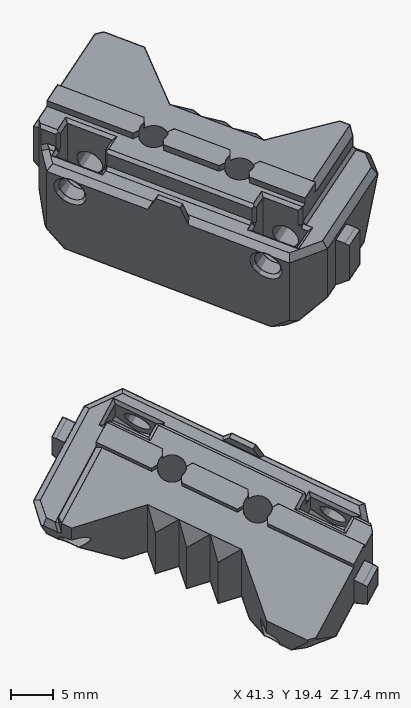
import cadquery as cq
import math

overall_length = 41.25
body_length = 37.72
depth = 19.35
top_z = 16.35
ridge_top_z = 17.35
ledge_z = 13.35
half_body = body_length / 2
margin = 2.05

small_chamfer = 0.4
large_chamfer = 0.8
bottom_chamfer = 1.0

base_half_length = 14.9
front_corner_x = 3.0
front_corner_y = 3.95
back_slope_z = 10.3
back_slope_run = 4.5
back_slope = back_slope_run / back_slope_z
rear_corner_cut = 2.85
ledge_corner_cut = 1.6

wall_y = 2.97
wall_x = 14.85

notch_floor_y = 12.75
notch_floor_half = 6.15
tooth_count = 3

ridge_width = 2.75
ridge_y = 7.45
hole_diameter = 3.4
vertical_hole_x = 5.6
ridge_gap_half = 2.0
ridge_tip_angle = 30.0
tab_top_z = 11.95
tab_bevel_x = 0.58
tab_bevel_z = 0.15

cross_hole_x = 12.8
cross_hole_z = 10.52
nut_flats = 5.85
pocket_front_y = 2.23
pocket_back_y = 5.1

pointer_thickness = 0.65
pointer_top_z = 15.05
pointer_top_half = 1.55
pointer_base_half = 2.7

block_outline = [
    (front_corner_x - half_body, 0),
    (half_body - front_corner_x, 0),
    (half_body, front_corner_y),
    (half_body, depth),
    (-half_body, depth),
    (-half_body, front_corner_y),
]


def prism(points, bottom, top):
    """Vertical prism over an XY outline."""
    return cq.Workplane("XY").workplane(offset=bottom).polyline(points).close().extrude(top - bottom)


def prism_along_y(points, front, back):
    """Prism along Y over an XZ outline."""
    return cq.Workplane("XZ", origin=(0, front, 0)).polyline(points).close().extrude(front - back)


def box(x0, x1, y0, y1, z0, z1):
    return cq.Workplane("XY").box(x1 - x0, y1 - y0, z1 - z0, centered=False).translate((x0, y0, z0))


def mirrored(shape):
    return shape.union(shape.mirror("YZ"))


def envelope():
    """Outer block with end ramps, leaning back and cut corners."""
    ramp_rise = half_body - base_half_length
    end_view = [
        (-base_half_length, 0),
        (base_half_length, 0),
        (half_body, ramp_rise),
        (half_body, top_z),
        (-half_body, top_z),
        (-half_body, ramp_rise),
    ]
    side_view = [
        (0, 0),
        (depth - back_slope_run, 0),
        (depth, back_slope_z),
        (depth, top_z),
        (0, top_z),
    ]
    side_prism = cq.Workplane("YZ").polyline(side_view).close().extrude(half_body, both=True)
    block = prism(block_outline, 0, top_z).intersect(prism_along_y(end_view, 0, depth)).intersect(side_prism)
    for side in (-1, 1):
        ramp_front_edge = cq.selectors.NearestToPointSelector((side * base_half_length, 0, 0))
        block = block.edges(ramp_front_edge).chamfer(bottom_chamfer)
    return block.cut(rear_corners())


def rear_corners():
    """Wedges that bevel the rear corners parallel to the leaning back."""
    cut_y = rear_corner_cut * math.hypot(1, back_slope)

    def section(z):
        slope_y = depth - back_slope_run + back_slope * z
        return [
            (half_body, slope_y - cut_y, z),
            (half_body + cut_y, slope_y - cut_y, z),
            (half_body + cut_y, slope_y + cut_y, z),
            (half_body - 2 * rear_corner_cut, slope_y + cut_y, z),
        ]

    sections = []
    for z in (-margin, top_z):
        points = [cq.Vector(*point) for point in section(z)]
        sections.append(cq.Wire.makePolygon(points, close=True))
    wedge = cq.Workplane(obj=cq.Solid.makeLoft(sections, True))
    edge_cut = prism(
        [
            (half_body - large_chamfer, depth),
            (half_body, depth - large_chamfer),
            (half_body, depth),
        ],
        back_slope_z,
        top_z,
    )
    return mirrored(wedge.union(edge_cut))


def upper_tier():
    """Region of the taller rear block, running past the envelope on the left and at the rear."""
    plan = [
        (-half_body - margin, wall_y),
        (wall_x, wall_y),
        (wall_x, depth - large_chamfer),
        (wall_x - large_chamfer - margin, depth + margin),
        (-half_body - margin, depth + margin),
    ]
    return prism(plan, 0, top_z)


def below_plane(point, normal):
    """Large block under the plane through a point, on the side away from the normal."""
    size = 4 * overall_length
    return cq.Workplane(cq.Plane(origin=point, normal=normal)).rect(size, size).extrude(-size)


def ledge_tier():
    """Region below the ledge, with a 45 degree bevel that spreads past the envelope."""
    foot_z = ledge_z - large_chamfer - margin
    spread = (
        cq.Workplane("XY", origin=(0, 0, foot_z))
        .polyline(block_outline)
        .close()
        .offset2D(margin, "intersection")
        .extrude(ledge_z - foot_z, taper=45)
    )
    reach = half_body + margin
    base = box(-reach, reach, -margin, depth + margin, 0, foot_z)
    corner_x = half_body - large_chamfer - ledge_corner_cut
    corner_point = cq.Vector(corner_x, depth - large_chamfer, ledge_z)
    return spread.union(base).intersect(below_plane(corner_point, cq.Vector(1, 1, 1)))


def below_corner_bevel(wall_normal, floor_normal, corner_point):
    """Space under the bevel plane that fills the inside corner between a wall and a floor."""
    wall_normal = wall_normal.normalized()
    floor_normal = floor_normal.normalized()
    up_the_wall = (floor_normal - wall_normal * wall_normal.dot(floor_normal)).normalized()
    bevel_start = corner_point + up_the_wall * small_chamfer
    return below_plane(bevel_start, wall_normal + floor_normal)


def corner_fillers():
    """Bevels along the foot of the upper tier, on the ledge and down its outer bevels."""
    up = cq.Vector(0, 0, 1)
    forward = cq.Vector(0, -1, 0)
    right = cq.Vector(1, 0, 0)
    reach = half_body + margin

    front_left = cq.Vector(-front_corner_y, -front_corner_x, 0).normalized()
    left_bevel_x = front_corner_x * (1 - wall_y / front_corner_y) - half_body
    left_bevel_point = cq.Vector(left_bevel_x, wall_y, ledge_z - large_chamfer)
    front_point = cq.Vector(0, wall_y, ledge_z)
    front = (
        box(-reach, wall_x, 0, wall_y, 0, top_z)
        .intersect(below_corner_bevel(forward, up, front_point))
        .intersect(below_corner_bevel(forward, front_left + up, left_bevel_point))
    )

    rear_point = cq.Vector(wall_x, depth - large_chamfer, ledge_z)
    side = (
        box(0, half_body, wall_y, depth, 0, top_z)
        .cut(upper_tier())
        .intersect(below_corner_bevel(right, up, rear_point))
        .intersect(below_corner_bevel(right - forward, up - forward, rear_point))
    )
    return front.union(side)


def stepped_body():
    return ledge_tier().union(upper_tier()).union(corner_fillers()).intersect(envelope())


def top_edge_bevels():
    """Wedges that bevel the top edges of the front wall and of the right-hand wall."""
    front_section = [
        (wall_y, top_z),
        (wall_y + small_chamfer, top_z),
        (wall_y, top_z - small_chamfer),
    ]
    front = cq.Workplane("YZ").polyline(front_section).close().extrude(half_body, both=True)
    right_section = [
        (wall_x, top_z),
        (wall_x - large_chamfer, top_z),
        (wall_x, top_z - large_chamfer),
    ]
    right = prism_along_y(right_section, ridge_y + ridge_width / 2, depth)
    return front.union(right)


def rear_notch():
    """V-notch in the rear face, leaving a row of teeth with sloping tops."""
    notch_half = notch_floor_half + depth - notch_floor_y
    tooth_half = notch_floor_half / tooth_count
    tip_y = notch_floor_y + tooth_half
    notch = prism(
        [
            (-notch_floor_half, notch_floor_y),
            (notch_floor_half, notch_floor_y),
            (notch_half, depth),
            (-notch_half, depth),
        ],
        0,
        top_z,
    )
    for index in range(tooth_count):
        x = (2 * index + 1 - tooth_count) * tooth_half
        tooth = prism(
            [
                (x - tooth_half, notch_floor_y),
                (x + tooth_half, notch_floor_y),
                (x, tip_y),
            ],
            0,
            top_z,
        )
        slope = [
            (notch_floor_y, top_z),
            (tip_y, top_z),
            (tip_y, top_z - tooth_half),
        ]
        top_cut = cq.Workplane("YZ").polyline(slope).close().extrude(half_body, both=True)
        notch = notch.cut(tooth.cut(top_cut))
    return notch


def ridge():
    """Bar along the top, split by gaps that follow the pointed ends of its pieces."""
    half_width = ridge_width / 2
    tip_gap_half = ridge_gap_half - half_width * math.tan(math.radians(ridge_tip_angle))
    bar = box(-half_body, wall_x, ridge_y - half_width, ridge_y + half_width, top_z, ridge_top_z)
    for x in (-vertical_hole_x, vertical_hole_x):
        gap = [
            (x - ridge_gap_half, ridge_y - half_width),
            (x + ridge_gap_half, ridge_y - half_width),
            (x + tip_gap_half, ridge_y),
            (x + ridge_gap_half, ridge_y + half_width),
            (x - ridge_gap_half, ridge_y + half_width),
            (x - tip_gap_half, ridge_y),
        ]
        bar = bar.cut(prism(gap, top_z, ridge_top_z))
    return bar


def end_tabs():
    """Tabs on both ends, continuing the 45 degree ramps outwards."""
    half_length = overall_length / 2
    section = [
        (0, half_body - base_half_length),
        (half_body, half_body - base_half_length),
        (half_length, half_length - base_half_length),
        (half_length, tab_top_z - tab_bevel_z),
        (half_length - tab_bevel_x, tab_top_z),
        (0, tab_top_z),
    ]
    return mirrored(prism_along_y(section, ridge_y - ridge_width / 2, ridge_y + ridge_width / 2))


def pointer():
    base_z = ledge_z - large_chamfer
    section = [
        (-pointer_base_half, base_z),
        (pointer_base_half, base_z),
        (pointer_top_half, pointer_top_z),
        (-pointer_top_half, pointer_top_z),
    ]
    return prism_along_y(section, 0, pointer_thickness)


def holes():
    """Two vertical holes, and two horizontal holes countersunk at the front."""
    radius = hole_diameter / 2
    bores = (
        cq.Workplane("XY")
        .pushPoints([(-vertical_hole_x, ridge_y), (vertical_hole_x, ridge_y)])
        .circle(radius)
        .extrude(ridge_top_z)
    )
    axis_direction = cq.Vector(0, 1, 0)
    for x in (-cross_hole_x, cross_hole_x):
        start = cq.Vector(x, 0, cross_hole_z)
        bore = cq.Solid.makeCylinder(radius, depth, start, axis_direction)
        sink = cq.Solid.makeCone(radius + small_chamfer, radius, small_chamfer, start, axis_direction)
        bores = bores.union(cq.Workplane(obj=bore)).union(cq.Workplane(obj=sink))
    return bores


def flared_rim(x0, x1, y0, y1, rim_z):
    """Bevel around a rectangular opening, widest at rim_z."""
    width = x1 - x0 + 2 * small_chamfer
    length = y1 - y0 + 2 * small_chamfer
    return (
        cq.Workplane("XY", origin=((x0 + x1) / 2, (y0 + y1) / 2, rim_z))
        .rect(width, length)
        .extrude(-small_chamfer, taper=45)
    )


def nut_pocket(x):
    """Top-loaded slot with a hexagonal bottom around a horizontal hole, with bevelled edges."""
    half = nut_flats / 2
    point_drop = nut_flats / math.sqrt(3)
    slot_section = [
        (x, cross_hole_z - point_drop),
        (x + half, cross_hole_z - point_drop / 2),
        (x + half, top_z),
        (x - half, top_z),
        (x - half, cross_hole_z - point_drop / 2),
    ]
    slot = prism_along_y(slot_section, pocket_front_y, pocket_back_y)
    rim = (x - half, x + half, pocket_front_y, pocket_back_y)
    top_rim = flared_rim(*rim, top_z)
    ledge_rim = flared_rim(*rim, ledge_z).cut(upper_tier())
    foot_y = wall_y - small_chamfer
    wall_mouth = prism(
        [
            (x - half - small_chamfer, foot_y),
            (x + half + small_chamfer, foot_y),
            (x + half + small_chamfer, wall_y),
            (x + half, wall_y + small_chamfer),
            (x - half, wall_y + small_chamfer),
            (x - half - small_chamfer, wall_y),
        ],
        ledge_z,
        top_z,
    )
    return slot.union(top_rim).union(ledge_rim).union(wall_mouth)


def side_wall_bevel():
    """Bevel on the upright edge where the right-hand wall meets its nut pocket."""
    outline = [
        (wall_x - small_chamfer, pocket_back_y),
        (wall_x + small_chamfer, pocket_back_y),
        (wall_x + small_chamfer, pocket_back_y + small_chamfer),
        (wall_x, pocket_back_y + small_chamfer),
    ]
    return prism(outline, ledge_z, top_z)


result = (
    stepped_body()
    .cut(top_edge_bevels())
    .cut(rear_notch())
    .union(ridge())
    .union(end_tabs())
    .union(pointer())
    .cut(nut_pocket(-cross_hole_x))
    .cut(nut_pocket(cross_hole_x))
    .cut(side_wall_bevel())
    .cut(holes())
)